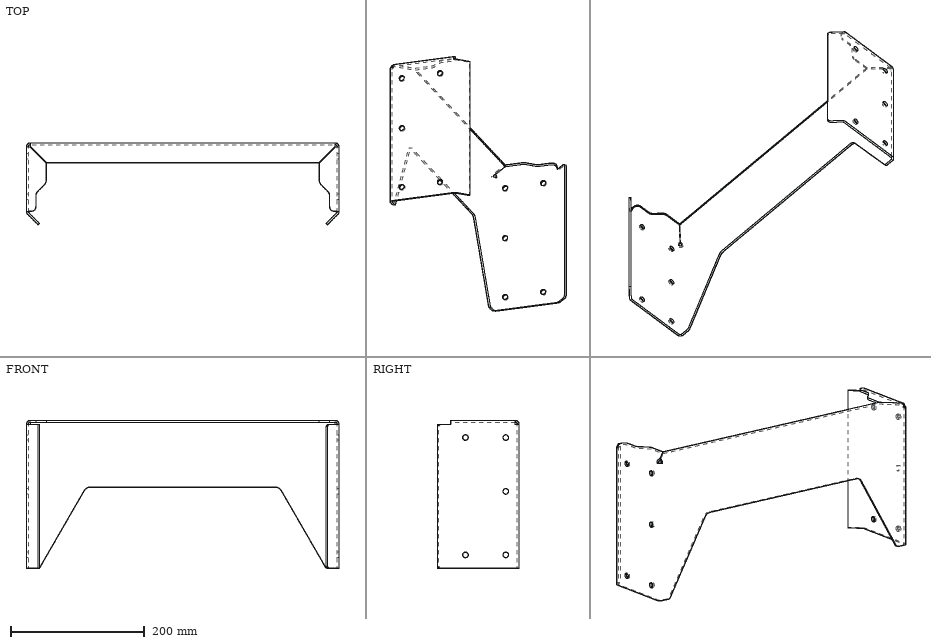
import cadquery as cq
import math

width = 468.0
depth = 122.5
height = 221.5
thickness = 3.0
bend_outer = 6.0
bend_inner = bend_outer - thickness

side_depth = 102.5
lip_angle = 45.0
lip_corner_radius = 5.0

flange_width = 30.0
flange_end_width = 14.5
step_depth = 60.0
step_radius = 10.0
flange_end_radius = 7.0
mitre_gap = 0.25

cutout_height = 121.0
cutout_foot_offset = 19.5
cutout_angle = 60.0
cutout_corner_radius = 10.0
foot_radius = 4.5

hole_diameter = 8.0
back_hole_depth = 20.0
front_hole_depth = 80.5
low_hole_z = 20.0
middle_hole_z = 115.0
high_hole_z = 195.5

half_width = width / 2


def rounded_block(inset, radius):
    """Block for the folded sheet, with its back and top edges rounded, inset from the outer faces."""
    block = cq.Workplane("XY").box(
        width - 2 * inset, side_depth - inset, height - inset, centered=(True, False, False)
    )
    block = block.translate((0, -side_depth, 0))
    return block.edges("(>Y and |Z) or (>Z and (not <Y))").fillet(radius)


def flange_opening():
    """Opening enclosed by the back and side flanges, stepped wider towards the front."""
    back_x = half_width - flange_width
    front_x = half_width - flange_end_width
    step_end = step_depth + flange_width - flange_end_width
    outline = [
        (-back_x, -flange_width),
        (back_x, -flange_width),
        (back_x, -step_depth),
        (front_x, -step_end),
        (front_x, -side_depth),
        (-front_x, -side_depth),
        (-front_x, -step_end),
        (-back_x, -step_depth),
    ]
    base_z = height - bend_outer
    opening = cq.Workplane("XY").workplane(offset=base_z).polyline(outline).close().extrude(2 * bend_outer)
    step_corners = cq.selectors.BoxSelector(
        (-half_width, -step_end - 0.5, base_z), (half_width, -step_depth + 0.5, height + bend_outer)
    )
    return opening.edges("|Z").edges(step_corners).fillet(step_radius)


def flange_end_corner(side):
    """Waste outside the rounded front corner of a side flange."""
    x = side * (half_width - flange_end_width)
    r = flange_end_radius
    diagonal = r * (1 - math.sqrt(0.5))
    return (
        cq.Workplane("XY")
        .workplane(offset=height - bend_outer)
        .moveTo(x, -side_depth)
        .lineTo(x, -side_depth + r)
        .threePointArc((x + side * diagonal, -side_depth + diagonal), (x + side * r, -side_depth))
        .close()
        .extrude(2 * bend_outer)
    )


def corner_relief(side):
    """Open corner where the three bends would meet, with the narrow mitre gap between the flanges."""
    base_z = height - bend_outer
    corner = cq.Workplane("XY").box(bend_outer, bend_outer, bend_outer, centered=False)
    corner = corner.translate((half_width - bend_outer, -bend_outer, base_z))
    gap_length = (flange_width - bend_outer / 2) * math.sqrt(2)
    gap_center = (flange_width + bend_outer / 2) / 2
    gap = cq.Workplane("XY").box(gap_length, mitre_gap, bend_outer, centered=(True, True, False))
    gap = gap.rotate((0, 0, 0), (0, 0, 1), 45)
    gap = gap.translate((half_width - gap_center, -gap_center, base_z))
    relief = corner.union(gap)
    return relief if side > 0 else relief.mirror("YZ")


def back_cutout():
    """Trapezoidal cutout through the back wall, with rounded upper corners and feet."""
    foot_x = half_width - cutout_foot_offset
    top_x = foot_x - cutout_height / math.tan(math.radians(cutout_angle))
    outline = [(-foot_x, 0), (foot_x, 0), (top_x, cutout_height), (-top_x, cutout_height)]
    cutter = cq.Workplane("XZ").polyline(outline).close().extrude(2 * bend_outer, both=True)
    return cutter.edges("|Y and >Z").fillet(cutout_corner_radius)


def lip():
    """Bent lip of the +X side wall, ending below the top bend, with square corners."""
    turn = math.radians(lip_angle)
    center_x = half_width - bend_outer
    center_y = -side_depth

    def around(radius, angle):
        return (center_x + radius * math.cos(angle), center_y - radius * math.sin(angle))

    outer_end = around(bend_outer, turn)
    inner_end = around(bend_inner, turn)
    length = (depth + outer_end[1]) / math.cos(turn)

    def along(point):
        return (point[0] - length * math.sin(turn), point[1] - length * math.cos(turn))

    return (
        cq.Workplane("XY")
        .moveTo(*around(bend_outer, 0))
        .threePointArc(around(bend_outer, turn / 2), outer_end)
        .lineTo(*along(outer_end))
        .lineTo(*along(inner_end))
        .lineTo(*inner_end)
        .threePointArc(around(bend_inner, turn / 2), around(bend_inner, 0))
        .close()
        .extrude(height - bend_outer)
    )


def round_free_corners(square_lip):
    """Round the top and bottom corners at the free end of the +X lip."""
    free_end = square_lip.faces(cq.selectors.DirectionMinMaxSelector(cq.Vector(-1, -1, 0)))
    return free_end.edges("#Z").fillet(lip_corner_radius)


def side_holes():
    """Five holes through each side wall."""
    places = [
        (-back_hole_depth, low_hole_z),
        (-back_hole_depth, middle_hole_z),
        (-back_hole_depth, high_hole_z),
        (-front_hole_depth, low_hole_z),
        (-front_hole_depth, high_hole_z),
    ]
    return cq.Workplane("YZ").pushPoints(places).circle(hole_diameter / 2).extrude(width, both=True)


result = rounded_block(0, bend_outer).cut(rounded_block(thickness, bend_inner))
result = result.cut(flange_opening())
for side in (-1, 1):
    result = result.cut(flange_end_corner(side))
    result = result.cut(corner_relief(side))

result = result.cut(back_cutout())
foot_corners = cq.selectors.BoxSelector(
    (-half_width + bend_outer, -2 * thickness, -0.5), (half_width - bend_outer, 0.5, 0.5)
)
result = result.edges("|Y").edges(foot_corners).fillet(foot_radius)

square_lip = lip()
result = result.union(round_free_corners(square_lip)).union(square_lip.mirror("YZ"))
result = result.cut(side_holes())